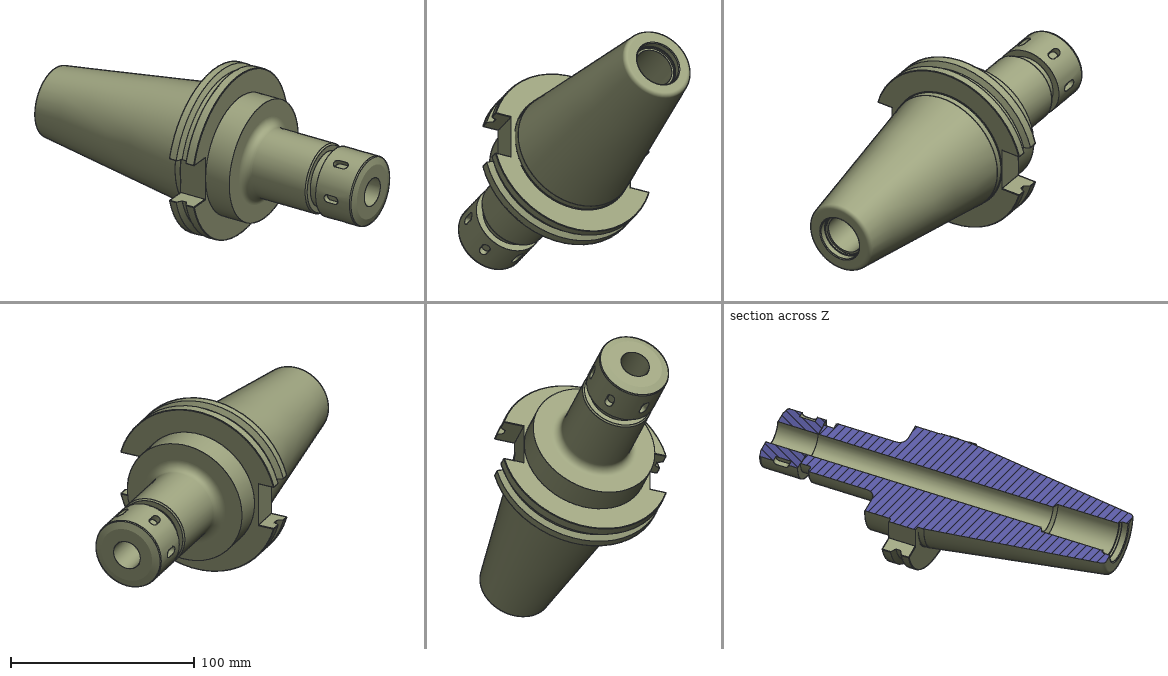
import cadquery as cq
import math

TOLERANCE = 0.02

taper_ratio = 7 / 24
gauge_radius = 35.0
gauge_x = 101.3
tail_round = 2.5
collar_radius = 35.05
corner_fillet = 0.5

flange_radius = 48.5
flange_start = 105.0
flange_end = 121.2
flange_chamfer = 0.3
groove_radius = 45.5
groove_start = 109.5
groove_floor_start = 111.5
groove_floor_end = 114.1
groove_end = 116.0

notch_half_width = 12.6
deep_notch_floor = 35.4
shallow_notch_floor = 37.5

shoulder_radius = 35.05
shoulder_end = 136.5
shank_radius = 19.95
shank_fillet = 5.0
shank_end = 176.8
shank_chamfer = 0.8
neck_radius = 16.02

mouth_radius = 13.2
pilot_radius = 12.72
pilot_depth = 4.0
relief_radius = 12.1
relief_depth = 5.2
wide_bore_radius = 11.0
wide_bore_end = 41.4
drill_point_angle = 118
bore_radius = 8.17

nut_start = 182.8
nut_end = 206.8
nut_radius = shank_radius
nut_edge_start = 204.7
nut_bevel_start = 205.5
nut_bevel_radius = 19.6
nut_face_radius = 15.5
slot_count = 6
slot_length = 8.9
slot_width = 4.5
slot_center_x = 192.7
slot_floor_radius = 16.5


def spin(outline):
    """Turn a closed half-outline, drawn as X against radius, around the X axis."""
    return outline.close().revolve(360, (0, 0, 0), (1, 0, 0))


def make_turned_blank():
    """Outer form of the holder with a plain, sharp-edged flange, solid through its middle."""
    taper_slope = taper_ratio / 2
    tail_tilt = math.atan(taper_slope)
    round_x = tail_round * (1 + math.sin(-tail_tilt))
    taper_start_radius = gauge_radius - (gauge_x - round_x) * taper_slope
    tail_face_radius = taper_start_radius - tail_round * math.cos(tail_tilt)
    outline = (
        cq.Workplane("XY")
        .lineTo(0, tail_face_radius)
        .radiusArc((round_x, taper_start_radius), tail_round)
        .lineTo(gauge_x, gauge_radius)
        .lineTo(gauge_x, collar_radius)
        .lineTo(flange_start - corner_fillet, collar_radius)
        .radiusArc((flange_start, collar_radius + corner_fillet), -corner_fillet)
        .lineTo(flange_start, flange_radius)
        .lineTo(flange_end, flange_radius)
        .lineTo(flange_end, shoulder_radius)
        .lineTo(shoulder_end, shoulder_radius)
        .lineTo(shoulder_end, shank_radius + shank_fillet)
        .radiusArc((shoulder_end + shank_fillet, shank_radius), -shank_fillet)
        .lineTo(shank_end - shank_chamfer, shank_radius)
        .lineTo(shank_end, shank_radius - shank_chamfer)
        .lineTo(shank_end, neck_radius)
        .lineTo(nut_start, neck_radius)
        .lineTo(nut_start, 0)
    )
    return spin(outline)


def make_bore():
    """Empty space along the holder's axis; the wide part ends in a drill point."""
    mouth_end = mouth_radius - pilot_radius
    cone_length = (wide_bore_radius - bore_radius) / math.tan(math.radians(drill_point_angle / 2))
    outline = (
        cq.Workplane("XY")
        .lineTo(0, mouth_radius)
        .lineTo(mouth_end, pilot_radius)
        .lineTo(pilot_depth, pilot_radius)
        .lineTo(pilot_depth, relief_radius)
        .lineTo(relief_depth, relief_radius)
        .lineTo(relief_depth, wide_bore_radius)
        .lineTo(wide_bore_end, wide_bore_radius)
        .lineTo(wide_bore_end + cone_length, bore_radius)
        .lineTo(nut_start, bore_radius)
        .lineTo(nut_start, 0)
    )
    return spin(outline)


def make_notch(side, floor_distance):
    """Block that cuts one drive notch; side is -1 toward -Y and +1 toward +Y."""
    depth = flange_radius - floor_distance
    return cq.Workplane("XY").box(
        flange_end - flange_start, depth, 2 * notch_half_width
    ).translate(
        ((flange_start + flange_end) / 2, side * (floor_distance + depth / 2), 0)
    )


def is_flange_edge(edge):
    """True for the edges of the flange faces and rim that lie farther out than the notch floors."""
    middle = edge.Center()
    on_wall = abs(abs(middle.z) - notch_half_width) < TOLERANCE
    beyond_floors = abs(middle.y) > shallow_notch_floor + TOLERANCE
    on_rim = edge.geomType() == "CIRCLE" and abs(edge.radius() - flange_radius) < TOLERANCE
    return on_rim or (on_wall and beyond_floors)


def make_groove():
    """Ring that cuts the gripping groove."""
    outline = (
        cq.Workplane("XY")
        .moveTo(groove_start, flange_radius)
        .lineTo(groove_floor_start, groove_radius)
        .lineTo(groove_floor_end, groove_radius)
        .lineTo(groove_end, flange_radius)
    )
    return spin(outline)


def make_holder():
    holder = make_turned_blank()
    holder = holder.cut(make_notch(-1, deep_notch_floor))
    holder = holder.cut(make_notch(1, shallow_notch_floor))
    flange_edges = [edge for edge in holder.edges().vals() if is_flange_edge(edge)]
    holder = holder.newObject(flange_edges).chamfer(flange_chamfer)
    return holder.cut(make_groove()).cut(make_bore())


def make_nut():
    outline = (
        cq.Workplane("XY")
        .moveTo(nut_start, bore_radius)
        .lineTo(nut_start, nut_radius)
        .lineTo(nut_edge_start, nut_radius)
        .lineTo(nut_bevel_start, nut_bevel_radius)
        .lineTo(nut_end, nut_face_radius)
        .lineTo(nut_end, bore_radius)
    )
    nut = spin(outline)
    slot = (
        cq.Workplane("XZ", origin=(slot_center_x, -slot_floor_radius, 0))
        .slot2D(slot_length, slot_width)
        .extrude(nut_radius - slot_floor_radius)
    )
    for index in range(slot_count):
        nut = nut.cut(slot.rotate((0, 0, 0), (1, 0, 0), index * 360 / slot_count))
    return nut


holder = make_holder()
nut = make_nut()
result = cq.Compound.makeCompound([holder.val(), nut.val()])